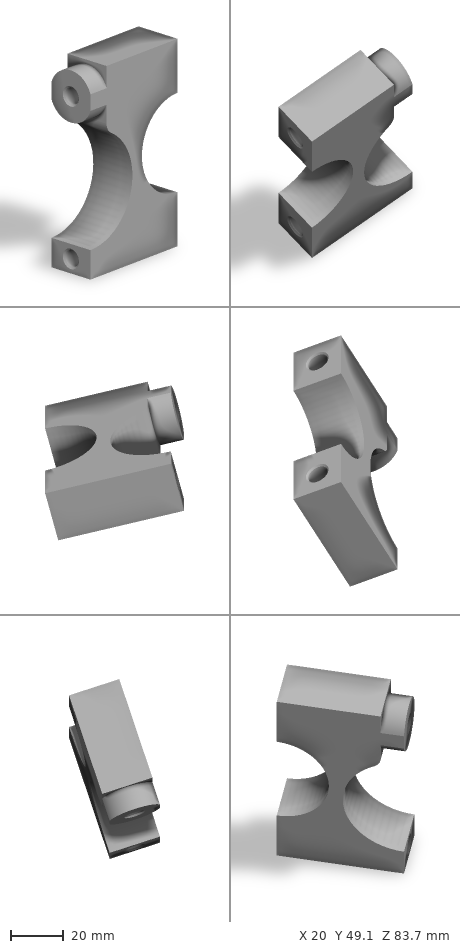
import cadquery as cq
import math

height = 83.7
depth = 49.1
width = 20.0
half_width = width / 2

back_scallop_radius = 20.1
back_scallop_z = height / 2
front_scallop_radius = 23.6
front_scallop_z = 35.5
corner_fillet = 5.0

boss_length = 9.05
boss_radius = 10.55
boss_z = height - 12.3

drill_point_angle = 118.0
hole_depth = depth / 2
hole_chamfer = 0.7
front_hole_radius = 3.4
lower_front_hole_z = 5.9
back_hole_radius = 4.1
back_hole_offset = 32.0


def bar_along_x(radius, y, z):
    """Cylinder across the width, centred on x = 0."""
    return cq.Workplane("YZ").center(y, z).circle(radius).extrude(half_width, both=True)


def drilled_hole(radius, y, z, direction):
    """Blind hole from the face at y, running along +Y or -Y, with a chamfered mouth."""
    point_length = radius / math.tan(math.radians(drill_point_angle / 2))
    profile = (
        cq.Workplane("XY")
        .moveTo(0, 0)
        .lineTo(radius + hole_chamfer, 0)
        .lineTo(radius, direction * hole_chamfer)
        .lineTo(radius, direction * hole_depth)
        .lineTo(0, direction * (hole_depth + point_length))
        .close()
    )
    return profile.revolve(360, (0, 0, 0), (0, 1, 0)).translate((0, y, z))


body = cq.Workplane("XY").box(width, depth, height, centered=(True, False, False))
step = cq.Workplane("XY").box(width, boss_length, height - front_scallop_z, centered=(True, False, False))
body = body.cut(step.translate((0, 0, front_scallop_z)))
body = body.cut(bar_along_x(back_scallop_radius, depth, back_scallop_z))
body = body.cut(bar_along_x(front_scallop_radius, 0, front_scallop_z))

corner_z = front_scallop_z + math.sqrt(front_scallop_radius**2 - boss_length**2)
corner_edge = cq.selectors.NearestToPointSelector((0, boss_length, corner_z))
body = body.edges("|X").edges(corner_edge).fillet(corner_fillet)

boss = cq.Workplane("XZ").center(0, boss_z).circle(boss_radius).extrude(-boss_length)
side_trim = cq.Workplane("XY").box(width, depth, height, centered=(True, False, False))
body = body.union(boss.intersect(side_trim))

for z in (lower_front_hole_z, boss_z):
    body = body.cut(drilled_hole(front_hole_radius, 0, z, 1))
for side in (-1, 1):
    z = back_scallop_z + side * back_hole_offset
    body = body.cut(drilled_hole(back_hole_radius, depth, z, -1))

result = body